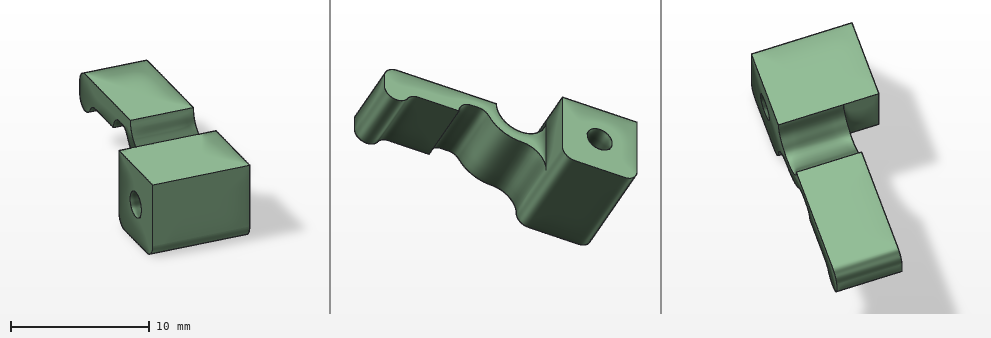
import cadquery as cq
import math

total_length = 19.0
block_length = 6.0
block_height = 6.0
block_depth = 7.7
block_corner_radius = 1.0
hole_diameter = 2.0

arm_depth = 5.0
arm_thickness = 2.0
tip_height = 3.0
tip_radius = 1.0
groove_radius = 2.0
neck_thickness = 1.0
notch_start_x = 6.0
notch_depth = 1.0
notch_radius = 1.0

block_x = total_length - block_length
hole_x = block_x + block_length / 2
hole_z = -block_height / 2
groove_x = block_x - groove_radius
neck_radius = groove_radius + neck_thickness
arm_bottom_z = -arm_thickness
notch_top_z = arm_bottom_z + notch_depth

upper_right = 45
up = 90
upper_left = 135
left = 180
down = 270


def arc_point(center, radius, degrees):
    """Point on a circle in the XZ plane, measured from +X towards +Z."""
    angle = math.radians(degrees)
    return (center[0] + radius * math.cos(angle), center[1] + radius * math.sin(angle))


def make_arm():
    lobe = (tip_radius, tip_radius - tip_height)
    hollow_z = arm_bottom_z - tip_radius
    hollow_rise = lobe[1] - hollow_z
    hollow_run = math.sqrt((2 * tip_radius) ** 2 - hollow_rise ** 2)
    hollow = (lobe[0] + hollow_run, hollow_z)
    lobe_end_angle = -math.degrees(math.atan2(hollow_rise, hollow_run))
    lobe_middle_angle = (lobe_end_angle - left) / 2
    hollow_start_angle = lobe_end_angle + left
    hollow_middle_angle = (hollow_start_angle + up) / 2

    groove = (groove_x, 0)
    notch_left = (notch_start_x + notch_radius, notch_top_z - notch_radius)
    notch_drop = -notch_left[1]
    notch_run = math.sqrt((neck_radius + notch_radius) ** 2 - notch_drop ** 2)
    notch_right = (groove_x - notch_run, notch_left[1])
    notch_end_angle = math.degrees(math.atan2(notch_drop, notch_run))
    notch_middle_angle = (notch_end_angle + up) / 2
    neck_start_angle = notch_end_angle + left
    neck_middle_angle = (neck_start_angle + down) / 2

    flare_radius = block_x - groove_x
    flare = (groove_x, -neck_radius - flare_radius)
    tip_top = (tip_radius, -tip_radius)

    profile = (
        cq.Workplane("XZ")
        .moveTo(tip_radius, 0)
        .threePointArc(arc_point(tip_top, tip_radius, upper_left), (0, -tip_radius))
        .lineTo(0, lobe[1])
        .threePointArc(
            arc_point(lobe, tip_radius, lobe_middle_angle),
            arc_point(lobe, tip_radius, lobe_end_angle),
        )
        .threePointArc(
            arc_point(hollow, tip_radius, hollow_middle_angle),
            (hollow[0], arm_bottom_z),
        )
        .lineTo(notch_start_x, arm_bottom_z)
        .threePointArc(arc_point(notch_left, notch_radius, upper_left), (notch_left[0], notch_top_z))
        .lineTo(notch_right[0], notch_top_z)
        .threePointArc(
            arc_point(notch_right, notch_radius, notch_middle_angle),
            arc_point(notch_right, notch_radius, notch_end_angle),
        )
        .threePointArc(
            arc_point(groove, neck_radius, neck_middle_angle),
            (groove_x, -neck_radius),
        )
        .threePointArc(arc_point(flare, flare_radius, upper_right), (block_x, flare[1]))
        .lineTo(block_x, 0)
        .threePointArc((groove_x, -groove_radius), (groove_x - groove_radius, 0))
        .close()
    )
    return profile.extrude(arm_depth)


def make_block():
    block = cq.Workplane("XY").box(block_length, block_depth, block_height, centered=False)
    block = block.translate((block_x, -block_depth, -block_height))
    block = block.edges("|Y and <Z").fillet(block_corner_radius)
    hole = (
        cq.Workplane("XZ")
        .center(hole_x, hole_z)
        .circle(hole_diameter / 2)
        .extrude(block_depth)
    )
    return block.cut(hole)


result = make_block().union(make_arm())